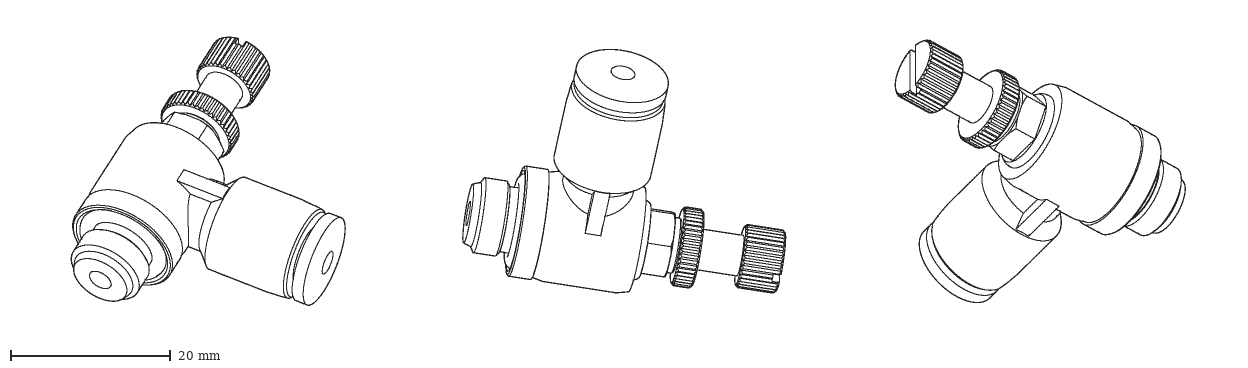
import cadquery as cq
import math


stem_top = 24.55
stem_length = 39.8
stem_bottom = stem_top - stem_length

passage_radius = 1.5

sleeve_radius = 7.0
sleeve_end_radius = 6.65
sleeve_taper = 1.5

port_radius = 6.2
port_neck_radius = 4.5
port_cone_start = 8.45
port_cone_end = port_cone_start + port_radius - port_neck_radius
port_taper_start = 18.15
port_taper_middle = 20.1
port_taper_middle_radius = 6.1
port_taper_end = 21.0
port_taper_end_radius = 5.97
port_rim = 21.35
port_rim_radius = 5.7

ring_neck_radius = 3.85
ring_flange_start = 22.2
ring_flange_radius = 5.9
ring_cone_start = 23.75
ring_end = 24.25
ring_end_radius = 3.98

rib_thickness = 2.0
rib_span = 12.0

knob_radius = 4.0
knob_length = 5.15
knob_teeth = 36
slot_width = 1.1
slot_depth = 1.0
shaft_radius = 2.6
shaft_length = 5.45

nut_radius = 5.0
nut_length = 2.6
nut_teeth = 45

knurl_depth = 0.25
knurl_chamfer = 0.3

shoulder_radius = 3.5
shoulder_length = 0.95
shoulder_chamfer = 0.2

hex_flats = 8.0
hex_length = 3.22
hex_corner_radius = hex_flats / 2 / math.cos(math.pi / 6)
hex_top_radius = 4.1
hex_chamfer_height = 0.28

journal_radius = 5.1
flange_top_radius = 4.75
flange_bulge = 0.1

collar_radius = sleeve_radius
collar_length = 3.0
collar_chamfer = 0.2
recess_mouth_radius = 6.4
bead_outer_radius = 6.0
recess_depth = 0.45
bead_height = 0.95

neck_radius = 4.15
thread_radius = 4.78
thread_start_radius = 4.35
thread_start = -10.7
thread_start_chamfer = 0.35
thread_end = -13.85
thread_end_chamfer = 0.45
tip_root_radius = 4.1
tip_end_radius = 3.75

knob_bottom = stem_top - knob_length
nut_top = knob_bottom - shaft_length
nut_bottom = nut_top - nut_length
hex_top = nut_bottom - shoulder_length
hex_bottom = hex_top - hex_length
sleeve_top = port_radius
sleeve_bottom = -port_radius
collar_bottom = sleeve_bottom - collar_length
recess_floor = collar_bottom + recess_depth


def along_y(radius, low, high):
    """Solid cylinder on the Y axis between two heights."""
    return cq.Workplane("XZ", origin=(0, high, 0)).circle(radius).extrude(high - low)


def around_y(points):
    """Solid turned about the Y axis from (radius, height) points."""
    return cq.Workplane("XY").polyline(points).close().revolve(360, (0, 0), (0, 1))


def make_passage():
    down_the_stem = along_y(passage_radius, stem_bottom, 0)
    corner = cq.Workplane("XY").sphere(passage_radius)
    along_the_port = cq.Workplane("YZ").circle(passage_radius).extrude(ring_end)
    return down_the_stem.union(corner).union(along_the_port)


def make_sleeve():
    return around_y([
        (0, sleeve_top),
        (sleeve_end_radius, sleeve_top),
        (sleeve_radius, sleeve_top - sleeve_taper),
        (sleeve_radius, sleeve_bottom + sleeve_taper),
        (sleeve_end_radius, sleeve_bottom),
        (0, sleeve_bottom),
    ])


def make_port():
    profile = [
        (0, 0),
        (0, port_neck_radius),
        (port_cone_start, port_neck_radius),
        (port_cone_end, port_radius),
        (port_taper_start, port_radius),
        (port_taper_middle, port_taper_middle_radius),
        (port_taper_end, port_taper_end_radius),
        (port_rim, port_rim_radius),
        (port_rim, ring_neck_radius),
        (ring_flange_start, ring_neck_radius),
        (ring_flange_start, ring_flange_radius),
        (ring_cone_start, ring_flange_radius),
        (ring_end, ring_end_radius),
        (ring_end, 0),
    ]
    return cq.Workplane("XY").polyline(profile).close().revolve(360, (0, 0), (1, 0))


def make_ribs():
    """One slab through the elbow shows as a rib above and a rib below the port neck."""
    return cq.Workplane("XY").box(
        port_cone_end, rib_thickness, rib_span, centered=(False, True, True)
    )


def make_elbow():
    bore = along_y(journal_radius, sleeve_bottom, sleeve_top)
    outside = make_sleeve().union(make_port()).union(make_ribs())
    return outside.cut(bore).cut(make_passage())


def knurled_disc(radius, teeth, low, high):
    """Disc on the Y axis with V-shaped teeth and chamfered ends."""
    outline = []
    for step in range(2 * teeth):
        angle = math.pi * step / teeth
        reach = radius if step % 2 == 0 else radius - knurl_depth
        outline.append((reach * math.cos(angle), reach * math.sin(angle)))
    toothed = cq.Workplane("XZ", origin=(0, high, 0)).polyline(outline).close().extrude(high - low)
    envelope = along_y(radius, low, high).faces("|Y").chamfer(knurl_chamfer)
    return toothed.intersect(envelope)


def make_knob():
    slot = cq.Workplane("XY", origin=(0, stem_top - slot_depth / 2, 0)).box(
        slot_width, slot_depth, 2 * knob_radius
    )
    return knurled_disc(knob_radius, knob_teeth, knob_bottom, stem_top).cut(slot)


def make_shoulder():
    return along_y(shoulder_radius, hex_top, nut_bottom).faces(">Y").chamfer(shoulder_chamfer)


def make_hexagon():
    prism = (
        cq.Workplane("XZ", origin=(0, hex_top, 0))
        .polygon(6, 2 * hex_corner_radius)
        .extrude(hex_length)
    )
    envelope = around_y([
        (0, hex_top),
        (hex_top_radius, hex_top),
        (hex_corner_radius, hex_top - hex_chamfer_height),
        (hex_corner_radius, hex_bottom),
        (0, hex_bottom),
    ])
    return prism.intersect(envelope)


def make_flange_and_journal():
    flange_middle = (
        (flange_top_radius + journal_radius) / 2 + flange_bulge,
        (hex_bottom + sleeve_top) / 2,
    )
    return (
        cq.Workplane("XY")
        .moveTo(0, hex_bottom)
        .lineTo(flange_top_radius, hex_bottom)
        .threePointArc(flange_middle, (journal_radius, sleeve_top))
        .lineTo(journal_radius, sleeve_bottom)
        .lineTo(0, sleeve_bottom)
        .close()
        .revolve(360, (0, 0), (0, 1))
    )


def make_collar():
    bead_middle = (bead_outer_radius + neck_radius) / 2
    return (
        cq.Workplane("XY")
        .moveTo(0, sleeve_bottom)
        .lineTo(collar_radius, sleeve_bottom)
        .lineTo(collar_radius, collar_bottom + collar_chamfer)
        .lineTo(collar_radius - collar_chamfer, collar_bottom)
        .lineTo(recess_mouth_radius, collar_bottom)
        .lineTo(bead_outer_radius, recess_floor)
        .threePointArc((bead_middle, recess_floor - bead_height), (neck_radius, recess_floor))
        .lineTo(0, recess_floor)
        .close()
        .revolve(360, (0, 0), (0, 1))
    )


def make_threaded_end():
    return around_y([
        (0, recess_floor),
        (neck_radius, recess_floor),
        (neck_radius, thread_start),
        (thread_start_radius, thread_start),
        (thread_radius, thread_start - thread_start_chamfer),
        (thread_radius, thread_end),
        (tip_root_radius, thread_end - thread_end_chamfer),
        (tip_end_radius, stem_bottom),
        (0, stem_bottom),
    ])


def make_stem():
    sections = [
        along_y(shaft_radius, nut_top, knob_bottom),
        knurled_disc(nut_radius, nut_teeth, nut_bottom, nut_top),
        make_shoulder(),
        make_hexagon(),
        make_flange_and_journal(),
        make_collar(),
        make_threaded_end(),
    ]
    stem = make_knob()
    for section in sections:
        stem = stem.union(section)
    return stem.cut(make_passage())


elbow = make_elbow()
stem = make_stem()

result = cq.Compound.makeCompound([elbow.solids().val(), stem.solids().val()])